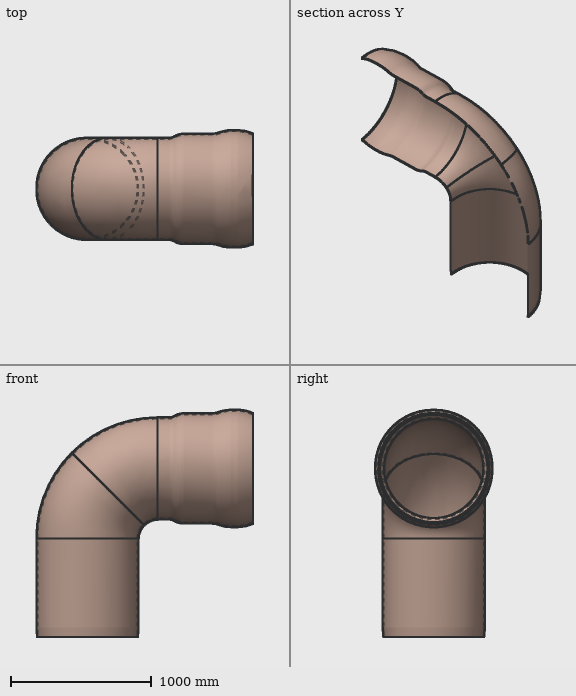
import cadquery as cq
import math

pipe_radius = 365.0
wall = 12.0
bore_radius = pipe_radius - wall

spigot_length = 700.0
taper_length = 67.0
taper_depth = 6.0

bend_radius = 500.0
bend_angle = 90.0
segment_count = 2
segment_angle = bend_angle / segment_count

socket_length = 680.0
sleeve_radius = 394.0
bead_radius = 419.0
neck_length = 85.0
sleeve_end = 391.0
crown_length = 43.0
lip_length = 5.0

flare_hollow_radius = 70.0
flare_round_radius = 131.0

bead_hollow_radius = 117.0
bead_round_radius = 255.0

axis_height = spigot_length + bend_radius
bend_center = cq.Vector(bend_radius, 0, spigot_length)


def make_spigot():
    """Hollow spigot on the Z axis, revolved from its wall section."""
    section = [
        (bore_radius, 0),
        (pipe_radius - taper_depth, 0),
        (pipe_radius, taper_length),
        (pipe_radius, spigot_length),
        (bore_radius, spigot_length),
    ]
    return cq.Workplane("XZ").polyline(section).close().revolve(360, (0, 0), (0, 1))


def make_bend_segment(index):
    """One bend segment: a pipe ring swept about the bend axis, then turned into place."""
    ring = cq.Workplane("XY", origin=(0, 0, spigot_length)).circle(pipe_radius).circle(bore_radius)
    segment = ring.revolve(segment_angle, (bend_radius, 0), (bend_radius, 1))
    axis_end = bend_center + cq.Vector(0, 1, 0)
    return segment.rotate(bend_center.toTuple(), axis_end.toTuple(), index * segment_angle)


def flare_angle(rise, hollow_radius, round_radius):
    """Slope where the two tangent arcs of a flare meet, in radians."""
    return math.acos(1 - rise / (hollow_radius + round_radius))


def arc_point(center, radius, angle):
    """Point on an arc; the angle is measured from the outward radial direction towards the mouth."""
    return (center[0] + radius * math.sin(angle), center[1] + radius * math.cos(angle))


def add_arc(path, center, radius, start_angle, end_angle):
    """Extend the path along an arc that starts at the end of the path."""
    middle = arc_point(center, radius, (start_angle + end_angle) / 2)
    return path.threePointArc(middle, arc_point(center, radius, end_angle))


def add_flare(path, start, base_radius, rise, hollow_radius, round_radius, depth):
    """Extend the path along a widening flare, at a depth below the outer surface."""
    angle = flare_angle(rise, hollow_radius, round_radius)
    end = start + (hollow_radius + round_radius) * math.sin(angle)
    hollow_center = (start, base_radius + hollow_radius)
    round_center = (end, base_radius + rise - round_radius)
    path = path.lineTo(start, base_radius - depth)
    path = add_arc(path, hollow_center, hollow_radius + depth, math.pi, math.pi - angle)
    return add_arc(path, round_center, round_radius - depth, -angle, 0), end


def socket_surface(depth):
    """Solid of revolution bounded by the socket wall surface at a depth below the outside."""
    path = cq.Workplane("XZ").lineTo(0, pipe_radius - depth)
    path, _ = add_flare(
        path, neck_length, pipe_radius, sleeve_radius - pipe_radius,
        flare_hollow_radius, flare_round_radius, depth,
    )
    path, bead_start = add_flare(
        path, sleeve_end, sleeve_radius, bead_radius - sleeve_radius,
        bead_hollow_radius, bead_round_radius, depth,
    )
    crown_end = bead_start + crown_length
    path = path.lineTo(crown_end, bead_radius - depth)
    lip_start = socket_length - lip_length
    fall_center = (crown_end, bead_radius - bead_round_radius)
    fall_radius = bead_round_radius - depth
    fall_angle = math.asin((lip_start - crown_end) / fall_radius)
    path = add_arc(path, fall_center, fall_radius, 0, fall_angle)
    path = path.hLine(lip_length).vLineTo(0)
    return path.close().revolve(360, (0, 0), (1, 0))


def make_socket():
    """Hollow socket on the horizontal axis of the bend outlet."""
    socket = socket_surface(0).cut(socket_surface(wall))
    return socket.translate((bend_radius, 0, axis_height))


spigot = make_spigot()
bend_segments = [make_bend_segment(index) for index in range(segment_count)]
socket = make_socket()

result = cq.Compound.makeCompound(
    [spigot.val(), *[segment.val() for segment in bend_segments], socket.val()]
)